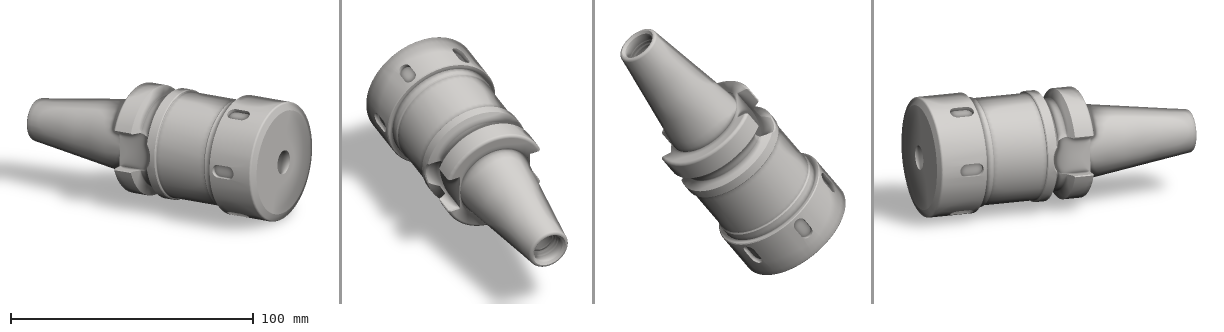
import cadquery as cq
import math


overall_length = 118.4

taper_length = 49.3
taper_large_dia = 32.0
taper_rate = 7 / 24
taper_tip_fillet = 1.2

relief_outer_dia = 33.4
relief_depth = 0.2

flange_dia = 46.0
flange_fillet = 1.3
v_groove_start = 57.9
v_groove_end = 66.2
v_groove_floor_dia = 38.4
v_groove_wall_angle = 30.0
v_groove_fillet = 0.4
flange_end = 70.5
flange_edge_chamfer = 0.4

body_dia = 44.4
body_fillet = 0.3
collar_dia = 45.5
collar_start = 93.4

drive_slot_width = 16.1
drive_slot_end = 67.6
drive_slot_floor = 16.2
drive_slot_chamfer = 0.5

mouth_dia = 15.2
mouth_depth = 1.0
entry_dia = 13.1
entry_depth = 4.6
pilot_dia = 12.5
pilot_depth = 5.9
step_dia = 11.6
step_depth = 7.5
bore_dia = 10.1

nut_start = 97.5
nut_dia = 50.0
nose_dia = 32.2
nut_face_dia = 43.5
nut_front_angle = 20.0
nut_front_fillet = 0.8
nut_back_chamfer = 0.4

spanner_slot_count = 6
spanner_slot_length = 10.2
spanner_slot_width = 5.5
spanner_slot_centre = 104.2
spanner_slot_floor = 23.0

margin = 0.06


def revolve_about_x(points):
    """Solid of revolution about X from (x, radius) points, closed along the axis."""
    first_x = points[0][0]
    last_x = points[-1][0]
    outline = [(first_x, 0), *points, (last_x, 0)]
    return cq.Workplane("XY").polyline(outline).close().revolve(360, (0, 0, 0), (1, 0, 0))


def edges_within(x_range, y_range=(-nut_dia, nut_dia), z_range=(-nut_dia, nut_dia)):
    """Selector for the edges that lie wholly inside a box, widened by the margin."""
    ranges = (x_range, y_range, z_range)
    low_corner = tuple(min(limits) - margin for limits in ranges)
    high_corner = tuple(max(limits) + margin for limits in ranges)
    return cq.selectors.BoxSelector(low_corner, high_corner, boundingbox=True)


def edges_at(x):
    """Selector for the edges in the plane square to the axis at x."""
    return edges_within((x, x))


smallest_circle = cq.selectors.RadiusNthSelector(0)
largest_circle = cq.selectors.RadiusNthSelector(-1)

flange_radius = flange_dia / 2
v_groove_floor_radius = v_groove_floor_dia / 2
v_groove_wall_run = (flange_radius - v_groove_floor_radius) * math.tan(math.radians(v_groove_wall_angle))
v_groove_floor_start = v_groove_start + v_groove_wall_run
v_groove_floor_end = v_groove_end - v_groove_wall_run


def holder_blank():
    """Turned outside of the holder with sharp corners."""
    taper_radius = taper_large_dia / 2
    tip_radius = taper_radius - taper_length * taper_rate / 2
    relief_floor = taper_length + relief_depth
    body_radius = body_dia / 2
    collar_radius = collar_dia / 2
    collar_chamfer = collar_radius - body_radius
    return revolve_about_x([
        (0, tip_radius),
        (taper_length, taper_radius),
        (relief_floor, taper_radius),
        (relief_floor, relief_outer_dia / 2),
        (taper_length, relief_outer_dia / 2),
        (taper_length, flange_radius),
        (v_groove_start, flange_radius),
        (v_groove_floor_start, v_groove_floor_radius),
        (v_groove_floor_end, v_groove_floor_radius),
        (v_groove_end, flange_radius),
        (flange_end - flange_edge_chamfer, flange_radius),
        (flange_end, flange_radius - flange_edge_chamfer),
        (flange_end, body_radius),
        (collar_start, body_radius),
        (collar_start + collar_chamfer, collar_radius),
        (nut_start, collar_radius),
        (nut_start, nose_dia / 2),
        (overall_length, nose_dia / 2),
    ])


def round_holder_edges(holder):
    """Fillet the taper tip, the flange front, the V-groove corners and the flange foot."""
    holder = holder.edges(edges_at(0)).fillet(taper_tip_fillet)
    holder = holder.edges(edges_at(taper_length)).edges(largest_circle).fillet(flange_fillet)
    for corner in (v_groove_floor_start, v_groove_floor_end):
        holder = holder.edges(edges_at(corner)).fillet(v_groove_fillet)
    return holder.edges(edges_at(flange_end)).edges(smallest_circle).fillet(body_fillet)


def cut_drive_slot(holder, side):
    """Cut the drive slot on the +Y or -Y side and chamfer its rim on the flange."""
    half_width = drive_slot_width / 2
    round_centre = drive_slot_end - half_width
    floor_y = side * drive_slot_floor
    outside_y = side * flange_dia
    slot = (
        cq.Workplane("XZ", origin=(0, floor_y, 0))
        .moveTo(0, -half_width)
        .lineTo(round_centre, -half_width)
        .threePointArc((drive_slot_end, 0), (round_centre, half_width))
        .lineTo(0, half_width)
        .close()
        .extrude(floor_y - outside_y)
    )
    slot_y = (floor_y, outside_y)
    front_rim_x = (taper_length, v_groove_start)
    lower_rim = edges_within(front_rim_x, slot_y, (-half_width, -half_width))
    upper_rim = edges_within(front_rim_x, slot_y, (half_width, half_width))
    round_rim = edges_within((v_groove_end, drive_slot_end), slot_y)
    return holder.cut(slot).edges(lower_rim + upper_rim + round_rim).chamfer(drive_slot_chamfer)


def holder_bore():
    """Stepped through bore, with 45-degree cones between its narrowing steps."""
    entry_cone = (entry_dia - pilot_dia) / 2
    pilot_cone = (pilot_dia - step_dia) / 2
    return revolve_about_x([
        (0, mouth_dia / 2),
        (mouth_depth, entry_dia / 2),
        (entry_depth, entry_dia / 2),
        (entry_depth + entry_cone, pilot_dia / 2),
        (pilot_depth, pilot_dia / 2),
        (pilot_depth + pilot_cone, step_dia / 2),
        (step_depth, step_dia / 2),
        (step_depth, bore_dia / 2),
        (overall_length, bore_dia / 2),
    ])


def make_holder():
    holder = round_holder_edges(holder_blank())
    for side in (-1, 1):
        holder = cut_drive_slot(holder, side)
    return holder.cut(holder_bore())


def nut_blank():
    """Turned nut: chamfered at the back, coned and rounded at the front, bored for the nose."""
    radius = nut_dia / 2
    face_radius = nut_face_dia / 2
    cone_start = overall_length - (radius - face_radius) * math.tan(math.radians(nut_front_angle))
    nut = revolve_about_x([
        (nut_start, radius - nut_back_chamfer),
        (nut_start + nut_back_chamfer, radius),
        (cone_start, radius),
        (overall_length, face_radius),
    ])
    nose_hole = cq.Workplane("YZ").circle(nose_dia / 2).extrude(overall_length)
    return nut.edges(edges_at(cone_start)).fillet(nut_front_fillet).cut(nose_hole)


def spanner_slot(angle):
    """Cutter for one flat-floored slot, turned about X from the -Y side."""
    slot = (
        cq.Workplane("XZ", origin=(spanner_slot_centre, -spanner_slot_floor, 0))
        .slot2D(spanner_slot_length, spanner_slot_width)
        .extrude(nut_dia / 2)
    )
    return slot.rotate((0, 0, 0), (1, 0, 0), angle)


def make_nut():
    nut = nut_blank()
    for index in range(spanner_slot_count):
        nut = nut.cut(spanner_slot(index * 360 / spanner_slot_count))
    return nut


holder = make_holder()
nut = make_nut()

result = cq.Compound.makeCompound([holder.solids().val(), nut.solids().val()])